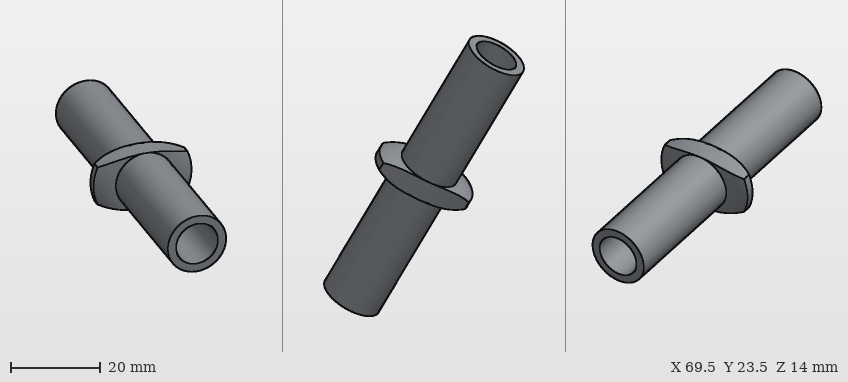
import cadquery as cq
import math

LENGTH = 69.5
TUBE_DIAMETER = 14.0
BORE_DIAMETER = 10.0

COLLAR_SPAN = 23.5
COLLAR_WIDTH = 5.0
COLLAR_TIP_WIDTH = 2.0
CORNER_Y = 10.8

tube_radius = TUBE_DIAMETER / 2
rim_radius = COLLAR_SPAN / 2
half_width = COLLAR_WIDTH / 2
half_tip = COLLAR_TIP_WIDTH / 2


def round_collar():
    """Disc about X whose rounded flanks leave the flat sides tangentially at the tube."""
    flank_height = rim_radius - tube_radius
    flank_drop = half_width - half_tip
    flank_radius = (flank_height**2 + flank_drop**2) / (2 * flank_drop)
    mid_angle = math.asin(flank_height / flank_radius) / 2
    mid_x = half_width - flank_radius * (1 - math.cos(mid_angle))
    mid_radius = tube_radius + flank_radius * math.sin(mid_angle)
    profile = (
        cq.Workplane("XY")
        .moveTo(-half_width, 0)
        .lineTo(-half_width, tube_radius)
        .threePointArc((-mid_x, mid_radius), (-half_tip, rim_radius))
        .lineTo(half_tip, rim_radius)
        .threePointArc((mid_x, mid_radius), (half_width, tube_radius))
        .lineTo(half_width, 0)
        .close()
    )
    return profile.revolve(360, (0, 0, 0), (1, 0, 0))


def crowned_envelope():
    """Lens about X that gives the collar its crowned top and bottom faces."""
    corner_z = math.sqrt(rim_radius**2 - CORNER_Y**2)
    crown_rise = tube_radius - corner_z
    crown_radius = (CORNER_Y**2 + crown_rise**2) / (2 * crown_rise)
    crown_offset = crown_radius - tube_radius
    lower = cq.Workplane("YZ").center(0, crown_offset).circle(crown_radius).extrude(half_width, both=True)
    upper = cq.Workplane("YZ").center(0, -crown_offset).circle(crown_radius).extrude(half_width, both=True)
    return upper.intersect(lower)


tube = cq.Workplane("YZ").circle(tube_radius).extrude(LENGTH / 2, both=True)
bore = cq.Workplane("YZ").circle(BORE_DIAMETER / 2).extrude(LENGTH / 2, both=True)
collar = round_collar().intersect(crowned_envelope())

result = tube.union(collar).cut(bore)